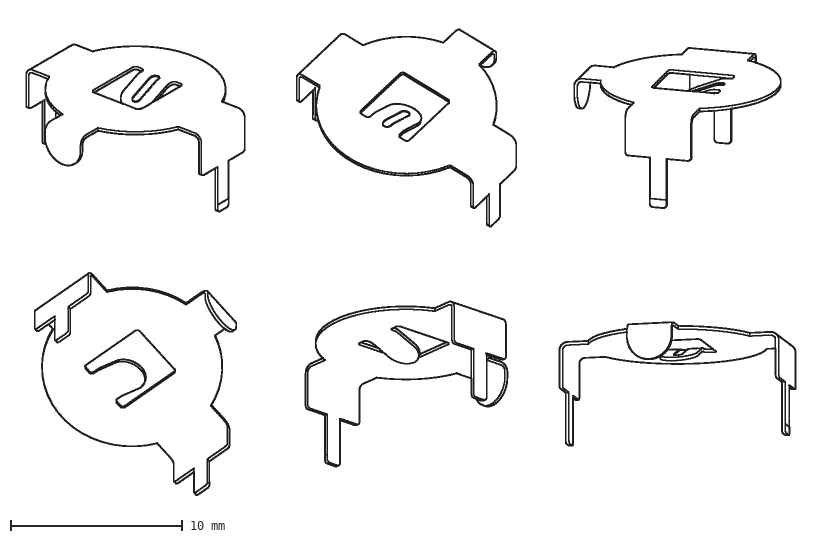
import cadquery as cq
import math

SHEET = 0.2
PLATE_RADIUS = 5.25
CORNER_RADIUS = 0.2

TO_FRONT = -90

TAB_BEND_RADIUS = 0.5
TAB_BEND_ANGLE = 90

PAD_LENGTH = 0.51
PAD_HEIGHT = 0.01

OVERALL_WIDTH = 13.2
LEG_REACH = (OVERALL_WIDTH - PAD_HEIGHT) / 2
LEG_WIDTH = 4.0
LEG_DEPTH = 2.7
PIN_WIDTH = 1.0
PIN_DEPTH = 5.72

FRONT_REACH = 6.69
FRONT_WIDTH = 2.67
FRONT_DEPTH = 2.2

WINDOW_WIDTH = 3.62
WINDOW_BACK = 2.16
WINDOW_FRONT = -1.86
TONGUE_WIDTH = 2.19
TONGUE_BEND_START = 1.85
TONGUE_BEND_RADIUS = 1.08
TONGUE_BEND_ANGLE = 22.5
TONGUE_LENGTH = 2.32
ROOT_LENGTH = WINDOW_BACK - TONGUE_BEND_START

GROOVE_WIDTH = 0.51
GROOVE_BACK = 2.06
GROOVE_FRONT = -0.15
GROOVE_DEPTH = 0.07


def turned(body, angle):
    """Body rotated about the vertical axis through the plate centre."""
    return body.rotate((0, 0, 0), (0, 0, 1), angle)


def bend(start, width, radius, angle, thickness):
    """Sheet running along +X at z = 0 that curves down from x = start."""
    def on_arc(arc_radius, degrees):
        turn = math.radians(degrees)
        return start + arc_radius * math.sin(turn), arc_radius * math.cos(turn) - radius

    inner_radius = radius - thickness
    return (
        cq.Workplane("XZ")
        .moveTo(*on_arc(radius, 0))
        .threePointArc(on_arc(radius, angle / 2), on_arc(radius, angle))
        .lineTo(*on_arc(inner_radius, angle))
        .threePointArc(on_arc(inner_radius, angle / 2), on_arc(inner_radius, 0))
        .close()
        .extrude(width / 2, both=True)
    )


def blade_plane(start, radius, angle):
    """Workplane on the outer face just past a bend; its x axis points to the free end."""
    turn = math.radians(angle)
    along = (math.cos(turn), 0, -math.sin(turn))
    outward = (math.sin(turn), 0, math.cos(turn))
    origin = (start + radius * math.sin(turn), 0, radius * math.cos(turn) - radius)
    return cq.Workplane(cq.Plane(origin=origin, xDir=along, normal=outward))


def corner_blade(plane, length, width, thickness):
    """Rectangular blade, hanging straight down, with rounded corners at its free end."""
    blade = plane.center(length / 2, 0).rect(length, width).extrude(-thickness)
    return blade.faces("<Z").edges("|X").fillet(CORNER_RADIUS)


def round_blade(plane, length, width, thickness):
    """Blade whose free end is a half circle."""
    half = width / 2
    return (
        plane.moveTo(0, -half)
        .lineTo(length - half, -half)
        .threePointArc((length, 0), (length - half, half))
        .lineTo(0, half)
        .close()
        .extrude(-thickness)
    )


def flat_arm(reach, width):
    """Flat sheet from the plate centre out to x = reach."""
    return cq.Workplane("XY").center(reach / 2, 0).rect(reach, width).extrude(-SHEET)


def side_leg():
    """Leg on the +X side: flat arm, bend, tab and pin."""
    start = LEG_REACH - TAB_BEND_RADIUS
    plane = blade_plane(start, TAB_BEND_RADIUS, TAB_BEND_ANGLE)
    tab = corner_blade(plane, LEG_DEPTH - TAB_BEND_RADIUS, LEG_WIDTH, SHEET)
    pin = corner_blade(plane, PIN_DEPTH - TAB_BEND_RADIUS, PIN_WIDTH, SHEET)
    curve = bend(start, LEG_WIDTH, TAB_BEND_RADIUS, TAB_BEND_ANGLE, SHEET)
    return flat_arm(start, LEG_WIDTH).union(curve).union(tab).union(pin)


def pin_pad():
    """Pad over the tip of the +X pin, with the same rounded corners."""
    pad_top = cq.Workplane("YZ", origin=(LEG_REACH, 0, PAD_LENGTH - PIN_DEPTH))
    pad = pad_top.center(0, -PAD_LENGTH / 2).rect(PIN_WIDTH, PAD_LENGTH).extrude(PAD_HEIGHT)
    return pad.faces("<Z").edges("|X").fillet(CORNER_RADIUS)


def front_tab():
    """Front tab, built along +X and turned to face -Y."""
    start = FRONT_REACH - TAB_BEND_RADIUS
    plane = blade_plane(start, TAB_BEND_RADIUS, TAB_BEND_ANGLE)
    blade = round_blade(plane, FRONT_DEPTH - TAB_BEND_RADIUS, FRONT_WIDTH, SHEET)
    curve = bend(start, FRONT_WIDTH, TAB_BEND_RADIUS, TAB_BEND_ANGLE, SHEET)
    return turned(flat_arm(start, FRONT_WIDTH).union(curve).union(blade), TO_FRONT)


def window():
    """Opening in the plate with rounded corners, notched around the root of the tongue."""
    half_window = WINDOW_WIDTH / 2
    half_tongue = TONGUE_WIDTH / 2
    right_side = [
        (half_tongue, TONGUE_BEND_START),
        (half_tongue, WINDOW_BACK),
        (half_window, WINDOW_BACK),
        (half_window, WINDOW_FRONT),
    ]
    left_side = [(-x, y) for x, y in reversed(right_side)]
    opening = cq.Workplane("XY").polyline(right_side + left_side).close().extrude(-SHEET)

    upright = opening.edges("|Z").vals()
    rounded = [edge for edge in upright if abs(edge.Center().y - TONGUE_BEND_START) > CORNER_RADIUS]
    return opening.newObject(rounded).fillet(CORNER_RADIUS)


def tongue_sheet(thickness):
    """Top layer of the spring tongue, of the given thickness, pointing to -Y."""
    start = -TONGUE_BEND_START
    root = (
        cq.Workplane("XY")
        .center(start - ROOT_LENGTH / 2, 0)
        .rect(ROOT_LENGTH, TONGUE_WIDTH)
        .extrude(-thickness)
    )
    curve = bend(start, TONGUE_WIDTH, TONGUE_BEND_RADIUS, TONGUE_BEND_ANGLE, thickness)
    plane = blade_plane(start, TONGUE_BEND_RADIUS, TONGUE_BEND_ANGLE)
    blade = round_blade(plane, TONGUE_LENGTH, TONGUE_WIDTH, thickness)
    return turned(root.union(curve).union(blade), TO_FRONT)


def groove():
    """Round-ended groove of even depth that follows the bend of the tongue."""
    footprint = (
        cq.Workplane("XY")
        .center(0, (GROOVE_BACK + GROOVE_FRONT) / 2)
        .slot2D(GROOVE_BACK - GROOVE_FRONT, GROOVE_WIDTH, 90)
        .extrude(-PIN_DEPTH)
    )
    return tongue_sheet(GROOVE_DEPTH).intersect(footprint)


plate = cq.Workplane("XY").circle(PLATE_RADIUS).extrude(-SHEET)
leg = side_leg()
result = plate.union(leg).union(turned(leg, 180)).union(front_tab())
result = result.union(pin_pad())
result = result.cut(window()).union(tongue_sheet(SHEET)).cut(groove())